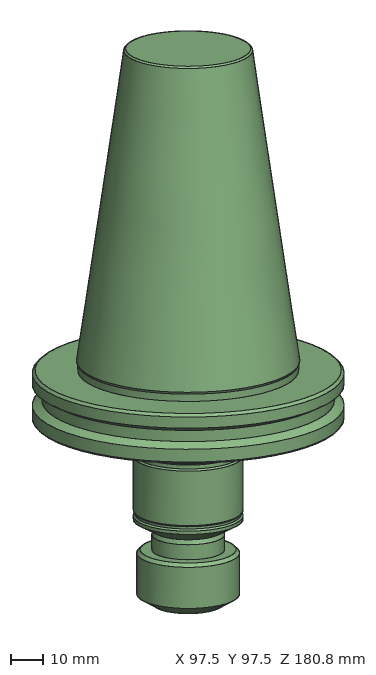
import cadquery as cq
import math

total_height = 180.8
gauge_z = 79.2
taper_ratio = 7 / 24
gauge_radius = 34.9
taper_top_chamfer = 0.5
relief_radius = 34.5
relief_chamfer = 0.7

flange_diameter = 97.5
flange_radius = flange_diameter / 2
flange_top_z = 76.1
flange_bottom_z = 60.0
flange_top_chamfer = 0.9
flange_bottom_chamfer = 0.5
groove_radius = 45.7
groove_center_z = 68.1
groove_floor_width = 3.6
groove_mouth_width = 6.9

shank_radius = 17.2
shank_fillet = 2.0
shank_end_z = 27.7
ring_groove_depth = 0.5
upper_ring_top_z = 50.6
upper_ring_width = 2.3
lower_ring_top_z = 30.5
lower_ring_width = 1.8
nose_end_radius = 10.8
nose_end_z = 24.0

neck_radius = 11.4
neck_chamfer_height = 1.5
head_radius = 16.0
head_top_z = 17.7
head_top_chamfer = 1.0
head_end_radius = 10.8
head_end_chamfer_height = 3.3


def make_holder_blank():
    """Taper, flange, shank and conical nose, turned about Z."""
    taper_top_radius = gauge_radius - (total_height - gauge_z) * taper_ratio / 2
    chamfer_z = total_height - taper_top_chamfer
    fillet_offset = shank_fillet * (1 - math.sqrt(0.5))
    return (
        cq.Workplane("XZ")
        .moveTo(0, total_height)
        .lineTo(taper_top_radius - taper_top_chamfer, total_height)
        .lineTo(taper_top_radius + taper_top_chamfer * taper_ratio / 2, chamfer_z)
        .lineTo(gauge_radius, gauge_z)
        .lineTo(relief_radius, gauge_z - relief_chamfer)
        .lineTo(relief_radius, flange_top_z)
        .lineTo(flange_radius - flange_top_chamfer, flange_top_z)
        .lineTo(flange_radius, flange_top_z - flange_top_chamfer)
        .lineTo(flange_radius, flange_bottom_z + flange_bottom_chamfer)
        .lineTo(flange_radius - flange_bottom_chamfer, flange_bottom_z)
        .lineTo(shank_radius + shank_fillet, flange_bottom_z)
        .threePointArc(
            (shank_radius + fillet_offset, flange_bottom_z - fillet_offset),
            (shank_radius, flange_bottom_z - shank_fillet),
        )
        .lineTo(shank_radius, shank_end_z)
        .lineTo(nose_end_radius, nose_end_z)
        .lineTo(0, nose_end_z)
        .close()
        .revolve(360, (0, 0), (0, 1))
    )


def make_flared_groove(outer_radius, floor_radius, center_z, mouth_width, floor_width):
    """Ring-shaped cutter with sloping flanks, wider at the mouth than at the floor."""
    half_floor = floor_width / 2
    half_mouth = mouth_width / 2
    return (
        cq.Workplane("XZ")
        .moveTo(floor_radius, center_z + half_floor)
        .lineTo(outer_radius, center_z + half_mouth)
        .lineTo(outer_radius, center_z - half_mouth)
        .lineTo(floor_radius, center_z - half_floor)
        .close()
        .revolve(360, (0, 0), (0, 1))
    )


def make_flange_groove():
    """Cutter for the gripper groove around the flange."""
    return make_flared_groove(
        flange_radius, groove_radius, groove_center_z, groove_mouth_width, groove_floor_width
    )


def make_ring_groove(top_z, width):
    """Cutter for a shallow groove with 45-degree flanks around the shank."""
    return make_flared_groove(
        shank_radius,
        shank_radius - ring_groove_depth,
        top_z - width / 2,
        width,
        width - 2 * ring_groove_depth,
    )


def make_holder():
    holder = make_holder_blank().cut(make_flange_groove())
    for top_z, width in (
        (upper_ring_top_z, upper_ring_width),
        (lower_ring_top_z, lower_ring_width),
    ):
        holder = holder.cut(make_ring_groove(top_z, width))
    return holder


def make_insert():
    """Neck and chamfered head, butted against the nose of the holder."""
    return (
        cq.Workplane("XZ")
        .moveTo(0, nose_end_z)
        .lineTo(nose_end_radius, nose_end_z)
        .lineTo(neck_radius, nose_end_z - neck_chamfer_height)
        .lineTo(neck_radius, head_top_z)
        .lineTo(head_radius - head_top_chamfer, head_top_z)
        .lineTo(head_radius, head_top_z - head_top_chamfer)
        .lineTo(head_radius, head_end_chamfer_height)
        .lineTo(head_end_radius, 0)
        .lineTo(0, 0)
        .close()
        .revolve(360, (0, 0), (0, 1))
    )


holder = make_holder()
insert = make_insert()
result = cq.Compound.makeCompound([holder.val(), insert.val()])